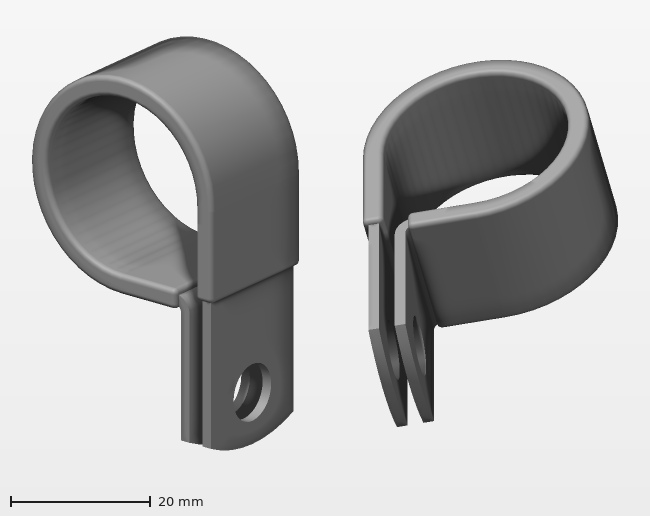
import cadquery as cq
import math

loop_diameter = 33.2
cushion_width = 20.65
cushion_thickness = 3.1
cushion_fillet = 0.8
strap_width = 19.2
strap_thickness = 1.55
total_height = 55.45

front_cushion_end_x = 10.0
back_cushion_end_z = -14.25
leg_gap = 2.35
bend_outer_radius = 2.9
hole_diameter = 8.7
hole_height = 7.95
tip_sagitta = 2.15

loop_radius = loop_diameter / 2
strap_outer_radius = loop_radius - (cushion_thickness - strap_thickness) / 2
strap_inner_radius = strap_outer_radius - strap_thickness
leg_bottom_z = loop_radius - total_height
front_leg_outer_x = strap_inner_radius - leg_gap
bend_center_x = front_leg_outer_x - bend_outer_radius
bend_center_z = -strap_inner_radius - bend_outer_radius


def three_quarter_band(outer_radius, thickness, width, bottom_end_x, side_end_z):
    """Band round the top and left of the loop with a straight run at each end."""
    inner_radius = outer_radius - thickness
    diagonal = math.sqrt(0.5)
    return (
        cq.Workplane("XZ")
        .moveTo(outer_radius, side_end_z)
        .lineTo(outer_radius, 0)
        .threePointArc((-outer_radius * diagonal, outer_radius * diagonal), (0, -outer_radius))
        .lineTo(bottom_end_x, -outer_radius)
        .lineTo(bottom_end_x, -inner_radius)
        .lineTo(0, -inner_radius)
        .threePointArc((-inner_radius * diagonal, inner_radius * diagonal), (inner_radius, 0))
        .lineTo(inner_radius, side_end_z)
        .close()
        .extrude(width / 2, both=True)
    )


def make_cushion():
    """Cushion with rounded side rims and rounded ends."""
    band = three_quarter_band(
        loop_radius, cushion_thickness, cushion_width, front_cushion_end_x, back_cushion_end_z
    )
    middle_radius = loop_radius - cushion_thickness / 2
    rims = band.faces("<Y or >Y").edges()
    bottom_end = band.faces(cq.NearestToPointSelector((front_cushion_end_x, 0, -middle_radius))).edges()
    side_end = band.faces(cq.NearestToPointSelector((middle_radius, 0, back_cushion_end_z))).edges()
    return rims.add(bottom_end).add(side_end).fillet(cushion_fillet)


def make_bent_leg():
    """Quarter bend from the bottom run down into the front leg."""
    inner_radius = bend_outer_radius - strap_thickness
    diagonal = math.sqrt(0.5)
    return (
        cq.Workplane("XZ")
        .moveTo(bend_center_x, bend_center_z + bend_outer_radius)
        .threePointArc(
            (bend_center_x + bend_outer_radius * diagonal, bend_center_z + bend_outer_radius * diagonal),
            (front_leg_outer_x, bend_center_z),
        )
        .lineTo(front_leg_outer_x, leg_bottom_z)
        .lineTo(front_leg_outer_x - strap_thickness, leg_bottom_z)
        .lineTo(front_leg_outer_x - strap_thickness, bend_center_z)
        .threePointArc(
            (bend_center_x + inner_radius * diagonal, bend_center_z + inner_radius * diagonal),
            (bend_center_x, bend_center_z + inner_radius),
        )
        .close()
        .extrude(strap_width / 2, both=True)
    )


def make_strap_envelope():
    """Side silhouette of the strap with its arched tip and bolt hole, spanning both legs."""
    half_width = strap_width / 2
    return (
        cq.Workplane("YZ")
        .moveTo(-half_width, loop_radius)
        .lineTo(-half_width, leg_bottom_z + tip_sagitta)
        .threePointArc((0, leg_bottom_z), (half_width, leg_bottom_z + tip_sagitta))
        .lineTo(half_width, loop_radius)
        .close()
        .moveTo(0, leg_bottom_z + hole_height)
        .circle(hole_diameter / 2)
        .extrude(loop_radius, both=True)
    )


strap = (
    three_quarter_band(strap_outer_radius, strap_thickness, strap_width, bend_center_x, leg_bottom_z)
    .union(make_bent_leg())
    .intersect(make_strap_envelope())
)
result = make_cushion().union(strap)